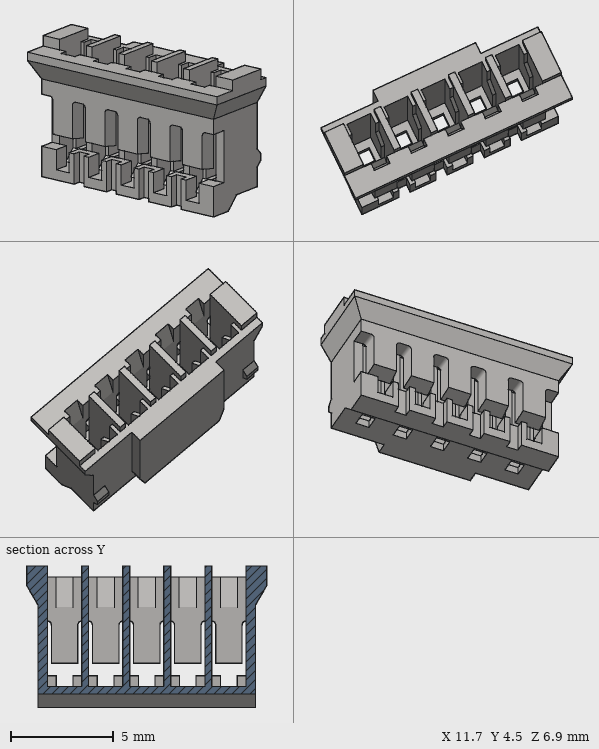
import cadquery as cq
import math


CONTACT_COUNT = 5
PITCH = 2.0
DIVIDER_WIDTH = 0.35
CELL_WIDTH = PITCH - DIVIDER_WIDTH

BODY_WIDTH = 10.6
BODY_DEPTH = 3.47
BODY_BOTTOM = 0.68
FRONT_WALL = 0.82
FOOT_TOP = 1.56
FOOT_DEPTH = 1.17

FLANGE_WIDTH = 11.7
FLANGE_OVERHANG = 0.43
FLANGE_TAPER_BOTTOM = 5.0
FLANGE_LIP_BOTTOM = 5.94
FLANGE_TOP = 6.36

TOP = 6.9
DIVIDER_BACK = 3.08

RAIL_WIDTH = 5.55
OVERALL_DEPTH = 4.5
RAIL_BACK = OVERALL_DEPTH - FLANGE_OVERHANG
RAIL_TAPER_HEIGHT = 0.96
RAIL_TAPER_ANGLE = 18.5
BUMP_WIDTH = 0.75
BUMP_HEIGHT = 0.29
BUMP_BOTTOM = 1.68
BUMP_TOP = 2.61

CELL_FLOOR = 0.53
RAMP_START = 1.31
LEDGE_FRONT = 1.88
RECESS_FLOOR = 1.1
LEDGE_SLOPE_BOTTOM = 3.72
LEDGE_SLOPE_DEPTH = 0.63
LEDGE_SLOPE_ANGLE = 49.0
RECESS_WIDTH = 1.28
PIN_HOLE = 0.7
PIN_HOLE_FRONT = 1.94

LEAD_IN_WIDTH = 0.84
LEAD_IN_DEPTH = 0.4
LEAD_IN_ANGLE = 15.0

FINGER_BACK_WIDTH = 1.3
FINGER_TAPER = 0.05
FINGER_TIP_FRONT = 2.3
FINGER_TIP_BACK = 2.15
SLOT_TOP = 4.21
SLOT_RADIUS = 0.2

FOOT_WINDOW_WIDTH = 0.8
FOOT_GROOVE_WIDTH = 0.6
FOOT_GROOVE_DEPTH = 0.41


def row(count):
    """X positions of a centred row at the contact pitch."""
    return [(i - (count - 1) / 2) * PITCH for i in range(count)]


CELLS = row(CONTACT_COUNT)
DIVIDERS = row(CONTACT_COUNT - 1)
ROW_HALF_WIDTH = CELLS[-1] + CELL_WIDTH / 2


def block(x_range, y_range, z_range):
    """Box between the given limits along each axis."""
    (x0, x1), (y0, y1), (z0, z1) = x_range, y_range, z_range
    return cq.Workplane("XY").box(x1 - x0, y1 - y0, z1 - z0, centered=False).translate((x0, y0, z0))


def centred(x, width):
    """Limits of a width centred on x."""
    return (x - width / 2, x + width / 2)


def side_prism(outline, x, width):
    """Outline of (y, z) points extruded along X, centred on x."""
    return cq.Workplane("YZ").polyline(outline).close().extrude(width / 2, both=True).translate((x, 0, 0))


def make_body():
    foot_chamfer = BODY_BOTTOM
    outline = [
        (0, 0),
        (FOOT_DEPTH, 0),
        (FOOT_DEPTH + foot_chamfer, BODY_BOTTOM),
        (BODY_DEPTH, BODY_BOTTOM),
        (BODY_DEPTH, FLANGE_TOP),
        (0, FLANGE_TOP),
    ]
    return side_prism(outline, 0, BODY_WIDTH)


def make_flange():
    mouth_front = -FLANGE_OVERHANG
    taper = (
        cq.Workplane("XY", origin=(0, 0, FLANGE_TAPER_BOTTOM))
        .center(0, BODY_DEPTH / 2)
        .rect(BODY_WIDTH, BODY_DEPTH)
        .workplane(offset=FLANGE_LIP_BOTTOM - FLANGE_TAPER_BOTTOM)
        .center(0, mouth_front / 2)
        .rect(FLANGE_WIDTH, BODY_DEPTH - mouth_front)
        .loft(ruled=True)
    )
    lip = block(
        centred(0, FLANGE_WIDTH), (mouth_front, BODY_DEPTH), (FLANGE_LIP_BOTTOM, FLANGE_TOP)
    )
    return taper.union(lip)


def make_rail():
    narrowing = RAIL_TAPER_HEIGHT * math.tan(math.radians(RAIL_TAPER_ANGLE))
    half = RAIL_WIDTH / 2
    taper_top = BODY_BOTTOM + RAIL_TAPER_HEIGHT
    outline = [
        (-half + narrowing, BODY_BOTTOM),
        (half - narrowing, BODY_BOTTOM),
        (half, taper_top),
        (half, FLANGE_TOP),
        (-half, FLANGE_TOP),
        (-half, taper_top),
    ]
    rail = cq.Workplane("XZ").polyline(outline).close().extrude(-(RAIL_BACK - BODY_DEPTH))
    return rail.translate((0, BODY_DEPTH, 0))


def make_bump(x):
    crest = BODY_DEPTH + BUMP_HEIGHT
    outline = [
        (BODY_DEPTH, BUMP_BOTTOM),
        (crest, BUMP_BOTTOM + BUMP_HEIGHT),
        (crest, BUMP_TOP - BUMP_HEIGHT),
        (BODY_DEPTH, BUMP_TOP),
    ]
    return side_prism(outline, x, BUMP_WIDTH)


def make_cell(x):
    """Everything removed for one contact: pocket, rear recess, pin hole and lead-in."""
    slope_back = LEDGE_FRONT + LEDGE_SLOPE_DEPTH
    slope_top = LEDGE_SLOPE_BOTTOM + LEDGE_SLOPE_DEPTH * math.tan(math.radians(LEDGE_SLOPE_ANGLE))
    pocket = side_prism(
        [
            (FRONT_WALL, CELL_FLOOR),
            (RAMP_START, CELL_FLOOR),
            (LEDGE_FRONT, RECESS_FLOOR),
            (LEDGE_FRONT, LEDGE_SLOPE_BOTTOM),
            (slope_back, slope_top),
            (slope_back, FLANGE_TOP),
            (FRONT_WALL, FLANGE_TOP),
        ],
        x,
        CELL_WIDTH,
    )
    recess = block(
        centred(x, RECESS_WIDTH), (LEDGE_FRONT, DIVIDER_BACK), (RECESS_FLOOR, FLANGE_TOP)
    )
    pin_hole = block(
        centred(x, PIN_HOLE), (PIN_HOLE_FRONT, PIN_HOLE_FRONT + PIN_HOLE), (0, RECESS_FLOOR)
    )
    lead_in_height = LEAD_IN_DEPTH / math.tan(math.radians(LEAD_IN_ANGLE))
    lead_in = side_prism(
        [
            (FRONT_WALL, FLANGE_TOP - lead_in_height),
            (FRONT_WALL, FLANGE_TOP),
            (FRONT_WALL - LEAD_IN_DEPTH, FLANGE_TOP),
        ],
        x,
        LEAD_IN_WIDTH,
    )
    return pocket.union(recess).union(pin_hole).union(lead_in)


def make_finger_slot(left, right):
    """Slot through the front wall, round at the top and wider at the front of the wall."""
    outline = [
        (left - FINGER_TAPER, 0),
        (right + FINGER_TAPER, 0),
        (right, FRONT_WALL),
        (left, FRONT_WALL),
    ]
    slot = cq.Workplane("XY").polyline(outline).close().extrude(SLOT_TOP - FOOT_TOP)
    slot = slot.faces(">Z").edges("not |X").fillet(SLOT_RADIUS)
    return slot.translate((0, 0, FOOT_TOP))


def cut_front_wall(housing):
    """Free the fingers from the front wall and open the gap between fingers and foot."""
    gap = side_prism(
        [
            (0, FOOT_TOP),
            (FRONT_WALL, FOOT_TOP),
            (FRONT_WALL, FINGER_TIP_BACK),
            (0, FINGER_TIP_FRONT),
        ],
        0,
        BODY_WIDTH,
    )
    housing = housing.cut(gap)
    half_finger = FINGER_BACK_WIDTH / 2
    finger_middles = [-FLANGE_WIDTH / 2 - half_finger] + CELLS + [FLANGE_WIDTH / 2 + half_finger]
    for before, after in zip(finger_middles, finger_middles[1:]):
        housing = housing.cut(make_finger_slot(before + half_finger, after - half_finger))
    return housing


def cut_foot(housing):
    for x in CELLS:
        housing = housing.cut(
            block(centred(x, FOOT_WINDOW_WIDTH), (0, FRONT_WALL), (CELL_FLOOR, FOOT_TOP))
        )
    for x in DIVIDERS:
        housing = housing.cut(
            block(centred(x, FOOT_GROOVE_WIDTH), (0, FOOT_GROOVE_DEPTH), (0, FOOT_TOP))
        )
    return housing


def add_top_walls(housing):
    """Dividers between the cells and the wide blocks at both ends, above the flange."""
    half_flange = FLANGE_WIDTH / 2
    spans = [centred(x, DIVIDER_WIDTH) for x in DIVIDERS]
    spans += [(-half_flange, -ROW_HALF_WIDTH), (ROW_HALF_WIDTH, half_flange)]
    for span in spans:
        housing = housing.union(block(span, (FRONT_WALL, DIVIDER_BACK), (FLANGE_TOP, TOP)))
    return housing


housing = make_body().union(make_flange()).union(make_rail())
for side in (-1, 1):
    housing = housing.union(make_bump(side * (BODY_WIDTH - BUMP_WIDTH) / 2))
for cell_x in CELLS:
    housing = housing.cut(make_cell(cell_x))
housing = cut_front_wall(housing)
housing = cut_foot(housing)
result = add_top_walls(housing)